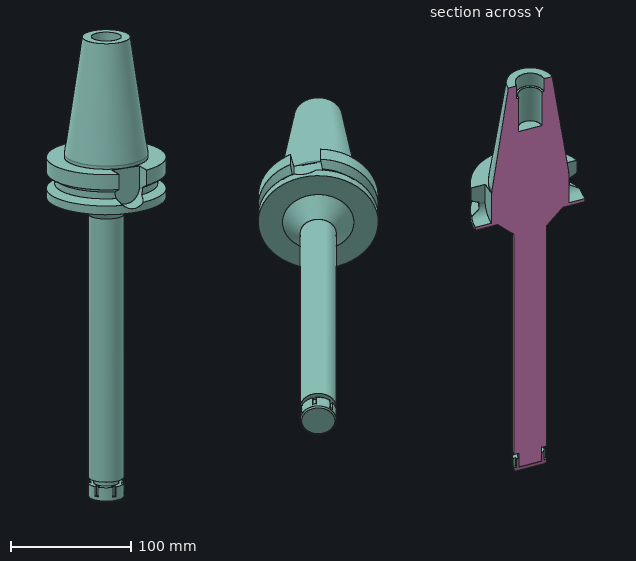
import cadquery as cq


total_length = 402
taper_length = 102.0
nose_z = taper_length - total_length

taper_top_radius = 20.0
taper_base_radius = 35.0
collar_height = 3.0
flange_diameter = 100.0
flange_radius = flange_diameter / 2
upper_rim_height = 13.3
groove_radius = 43.0
groove_flare_height = 4.0
groove_floor_height = 6.0
lower_rim_height = 7.5

shank_diameter = 30.0
shank_radius = shank_diameter / 2
cone_top_radius = 29.7
neck_radius = 10.5
neck_gap = 5.0

counterbore_radius = 12.5
counterbore_depth = 13.3
bore_radius = 10.5
bore_depth = 48.2

key_width = 25.7
key_length = 31.5
key_floor_offset = 35.5

nut_height = 13.0
nut_radius = shank_radius
nut_chamfer = 1.2
nut_wall_below_neck = 3.2
slot_count = 6
slot_width = 3.2
slot_length = 8.5
slot_depth = 2.5

flange_top_z = -collar_height
groove_top_z = flange_top_z - upper_rim_height
groove_floor_top_z = groove_top_z - groove_flare_height
groove_floor_bottom_z = groove_floor_top_z - groove_floor_height
groove_bottom_z = groove_floor_bottom_z - groove_flare_height
flange_bottom_z = groove_bottom_z - lower_rim_height
cone_bottom_z = flange_bottom_z - (cone_top_radius - shank_radius)
nut_top_z = nose_z + nut_height
shank_bottom_z = nut_top_z + neck_gap
neck_bottom_z = nose_z + nut_wall_below_neck


def cylinder(radius, bottom_z, height):
    return cq.Workplane("XY").workplane(offset=bottom_z).circle(radius).extrude(height)


def make_holder_blank():
    """Taper, flange with V-groove, shank and neck, revolved about Z."""
    profile = [
        (0, taper_length),
        (taper_top_radius, taper_length),
        (taper_base_radius, 0),
        (taper_base_radius, flange_top_z),
        (flange_radius, flange_top_z),
        (flange_radius, groove_top_z),
        (groove_radius, groove_floor_top_z),
        (groove_radius, groove_floor_bottom_z),
        (flange_radius, groove_bottom_z),
        (flange_radius, flange_bottom_z),
        (cone_top_radius, flange_bottom_z),
        (shank_radius, cone_bottom_z),
        (shank_radius, shank_bottom_z),
        (neck_radius, shank_bottom_z),
        (neck_radius, neck_bottom_z),
        (0, neck_bottom_z),
    ]
    return cq.Workplane("XZ").polyline(profile).close().revolve(360, (0, 0, 0), (0, 1, 0))


def make_keyway(side):
    """Round-ended slot on the +X (side = 1) or -X (side = -1) face of the flange."""
    half_width = key_width / 2
    arc_center_z = flange_top_z - key_length + half_width
    return (
        cq.Workplane("YZ", origin=(side * key_floor_offset, 0, 0))
        .moveTo(-half_width, flange_top_z)
        .lineTo(-half_width, arc_center_z)
        .threePointArc((0, flange_top_z - key_length), (half_width, arc_center_z))
        .lineTo(half_width, flange_top_z)
        .close()
        .extrude(side * flange_radius)
    )


def make_holder():
    holder = make_holder_blank()
    holder = holder.cut(cylinder(counterbore_radius, taper_length - counterbore_depth, counterbore_depth))
    holder = holder.cut(cylinder(bore_radius, taper_length - bore_depth, bore_depth))
    for side in (-1, 1):
        holder = holder.cut(make_keyway(side))
    return holder


def make_nut():
    """Nut with a recess for the neck and spanner slots open at its top."""
    nut = cylinder(nut_radius, nose_z, nut_height).faces("<Z").chamfer(nut_chamfer)
    nut = nut.cut(cylinder(neck_radius, neck_bottom_z, nut_top_z - neck_bottom_z))
    slot_center = (nut_radius, 0, nut_top_z - slot_length / 2)
    slot = cq.Workplane("XY").box(2 * slot_depth, slot_width, slot_length).translate(slot_center)
    for index in range(slot_count):
        nut = nut.cut(slot.rotate((0, 0, 0), (0, 0, 1), index * 360 / slot_count))
    return nut


holder = make_holder()
nut = make_nut()

result = cq.Compound.makeCompound([holder.val(), nut.val()])